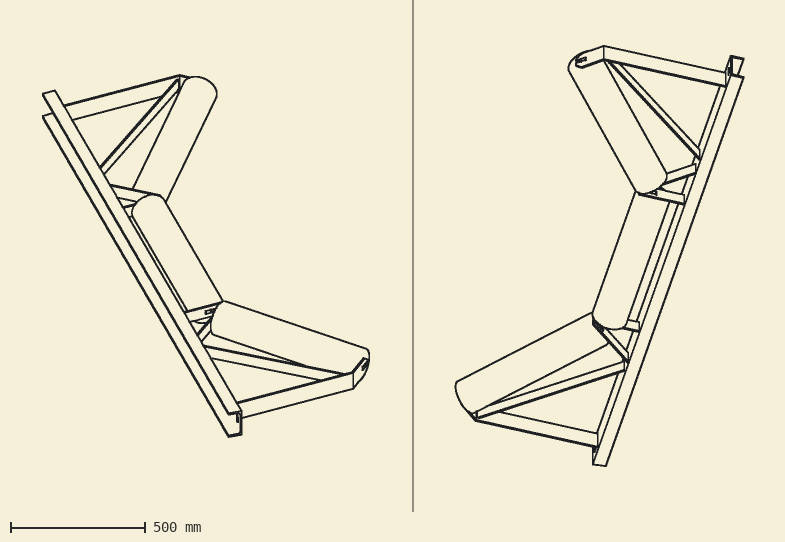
import cadquery as cq
import math


beam_length = 1900
beam_height = 120.0
flange_width = 50.0
web_thickness = 5.0
flange_tip = 8.0
flange_root = 10.0
root_radius = 5.0
end_skew = 5.0
hole_inset = 28.0
hole_width = 15.0
hole_length = 35.0

roller_diameter = 133
roller_length = 605.0
roller_radius = roller_diameter / 2
shaft_diameter = 23.0
roller_end_radius = 5.0
shaft_flat = 15.0
end_gap = 5.0
trough_angle = 40
forward_tilt = 2
roller_z = -20.0
centre_roller_y = 118.0
wing_inner_x = -357.0
wing_inner_y = 140.0

plate_thickness = 5.0
post_width = 80.0
post_z = -2.0
post_x = -878.0
tab_length = 112.0
tab_chamfer = 23.0
bracket_width = 53.0
bracket_foot_x = -465.0
bracket_shoulder_x = -325.0
bracket_top_y = 175.0
brace_foot_x = -513
brace_top_y = 465.0
brace_width = 51.0

shaft_end = end_gap + plate_thickness
cos_trough = math.cos(math.radians(trough_angle))
sin_trough = math.sin(math.radians(trough_angle))
axis_run = math.cos(math.radians(forward_tilt))
axis_rise = math.sin(math.radians(forward_tilt))
along_plate = cq.Vector(sin_trough, cos_trough)
outward = cq.Vector(-cos_trough, sin_trough)

centre_frame = cq.Plane((-roller_length / 2, centre_roller_y, roller_z), (0, 1, 0), (1, 0, 0))
wing_frame = cq.Plane(
    (wing_inner_x, wing_inner_y, roller_z),
    along_plate.toTuple(),
    (outward.x * axis_run, outward.y * axis_run, axis_rise),
)
wing_inner = cq.Vector(wing_inner_x, wing_inner_y)
wing_outer = wing_inner + outward * (roller_length * axis_run)


def place(body, side):
    """Keep a left-hand body, or mirror it to the right-hand side."""
    return body if side < 0 else body.mirror("YZ")


def make_beam():
    """Channel with tapered flanges pointing to -Y and a slotted hole near each end."""
    half = beam_height / 2
    profile = [
        (0, -half),
        (0, half),
        (-flange_width, half),
        (-flange_width, half - flange_tip),
        (-web_thickness, half - flange_root),
        (-web_thickness, flange_root - half),
        (-flange_width, flange_tip - half),
        (-flange_width, -half),
    ]
    beam = cq.Workplane("YZ", origin=(-beam_length / 2, 0, 0)).polyline(profile).close().extrude(beam_length)
    inside_web = cq.selectors.BoxSelector(
        (-beam_length, -2 * web_thickness, flange_tip - half),
        (beam_length, -web_thickness / 2, half - flange_tip),
    )
    beam = beam.edges("|X").edges(inside_web).fillet(root_radius)
    skew = (
        cq.Workplane("XY", origin=(0, 0, -half))
        .polyline([
            (beam_length / 2, 0),
            (beam_length / 2, -flange_width),
            (beam_length / 2 - end_skew, -flange_width),
        ])
        .close()
        .extrude(beam_height)
    )
    hole_x = beam_length / 2 - hole_inset
    holes = (
        cq.Workplane("XZ")
        .pushPoints([(-hole_x, 0), (hole_x, 0)])
        .slot2D(hole_length, hole_width, 90)
        .extrude(web_thickness)
    )
    return beam.cut(skew).cut(holes)


def make_roller(frame):
    """Roller with rounded rims and a shaft whose ends are flattened on two sides."""
    shell = cq.Workplane(frame).circle(roller_radius).extrude(roller_length)
    shell = shell.edges().fillet(roller_end_radius)
    shaft_length = roller_length + 2 * shaft_end
    start = cq.Workplane(frame).workplane(offset=-shaft_end)
    shaft = start.circle(shaft_diameter / 2).extrude(shaft_length)
    flats = start.rect(shaft_diameter, shaft_flat).extrude(shaft_length)
    return shell.union(shaft.intersect(flats))


def shaft_slots(frame):
    """Open slots for both shaft ends, running from under the shaft past the plate tip."""
    below = shaft_diameter / 2
    depth = below + roller_radius
    reach = shaft_end + plate_thickness
    start = cq.Workplane(frame).workplane(offset=-reach).center(depth / 2 - below, 0)
    return start.rect(depth, shaft_flat).extrude(roller_length + 2 * reach)


def flat_bar(outline, width, middle_z):
    """Extrude an outline in XY by the bar width, centred on a height."""
    return cq.Workplane("XY", origin=(0, 0, middle_z - width / 2)).polyline(outline).close().extrude(width)


def bent_plate(path, thickness, width, middle_z):
    """Flat bar folded along a path in XY; positive thickness lies to the left of the path."""
    legs = [(b - a).normalized() for a, b in zip(path, path[1:])]
    normals = [cq.Vector(-leg.y, leg.x) for leg in legs]
    far_side = [path[0] + normals[0] * thickness]
    for corner, before, after in zip(path[1:], normals, normals[1:]):
        far_side.append(corner + (before + after) * (thickness / (1 + before.dot(after))))
    far_side.append(path[-1] + normals[-1] * thickness)
    return flat_bar([p.toTuple()[:2] for p in path + far_side[::-1]], width, middle_z)


def make_outer_post():
    """Upright bent at the top into a tab that carries the outer end of a wing roller."""
    face = wing_outer + outward * end_gap
    corner = face + along_plate * ((post_x - face.x) / along_plate.x)
    tip = corner + along_plate * tab_length
    post = bent_plate([cq.Vector(post_x, 0), corner, tip], plate_thickness, post_width, post_z)
    around_tip = cq.selectors.BoxSelector(
        (tip.x - 2 * plate_thickness, tip.y - 2 * plate_thickness, post_z - post_width),
        (tip.x + 2 * plate_thickness, tip.y + 2 * plate_thickness, post_z + post_width),
    )
    tip_corners = post.edges(around_tip).edges(cq.selectors.ParallelDirSelector(outward))
    post = tip_corners.chamfer(tab_chamfer)
    return post.cut(shaft_slots(wing_frame))


def make_inner_bracket():
    """Folded bracket between the centre roller and the inner end of a wing roller."""
    centre_face_x = -roller_length / 2 - end_gap
    path = [
        cq.Vector(bracket_foot_x, 0),
        cq.Vector(bracket_shoulder_x, bracket_top_y),
        cq.Vector(centre_face_x, bracket_top_y),
        cq.Vector(centre_face_x, 0),
    ]
    bracket = bent_plate(path, -plate_thickness, bracket_width, roller_z)
    behind_web = cq.Workplane("XY").rect(beam_length, 2 * bracket_top_y).extrude(beam_height, both=True)
    behind_web = behind_web.translate((0, bracket_top_y, 0))
    bracket = bracket.intersect(behind_web)
    return bracket.cut(shaft_slots(wing_frame)).cut(shaft_slots(centre_frame))


def make_brace():
    """Straight stay from the top of the outer post down to the beam."""
    run = brace_foot_x - post_x
    length = math.hypot(run, brace_top_y)
    drop = plate_thickness * length / run
    shift = plate_thickness * length / brace_top_y
    outline = [
        (post_x, brace_top_y),
        (brace_foot_x, 0),
        (brace_foot_x - shift, 0),
        (post_x, brace_top_y - drop),
    ]
    return flat_bar(outline, brace_width, post_z)


bodies = [make_beam(), make_roller(centre_frame)]
for side in (-1, 1):
    bodies.append(place(make_roller(wing_frame), side))
    bodies.append(place(make_outer_post(), side))
    bodies.append(place(make_inner_bracket(), side))
    bodies.append(place(make_brace(), side))

result = cq.Compound.makeCompound([body.solids().val() for body in bodies])